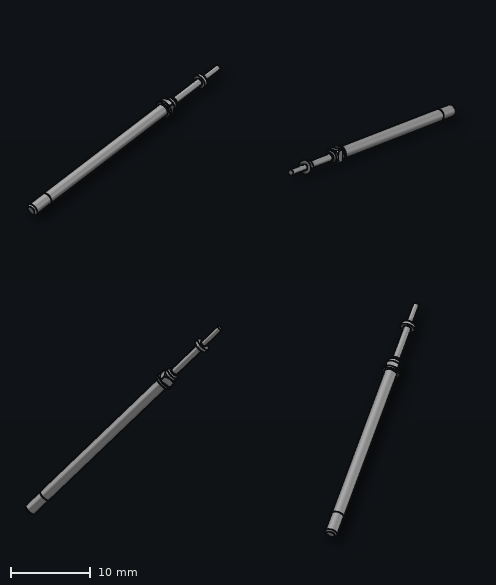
import cadquery as cq

LENGTH = 36.2
TIP_Y = LENGTH / 2

TIP_DIAMETER = 0.8
STOP_DIAMETER = 1.9
NECK_DIAMETER = 1.0
COLLAR_NOSE_DIAMETER = 1.23
BODY_DIAMETER = 1.65
FLANGE_DIAMETER = 2.3
SLEEVE_DIAMETER = 1.63

STOP_START = 3.2
STOP_END = 3.7
COLLAR_START = 8.65
COLLAR_NOSE_END = 8.75
COLLAR_BEVEL_END = 9.0
SQUARE_START = 9.45
FLANGE_START = 10.43
FLANGE_END = 10.75
SLEEVE_LENGTH = 3.0
SLEEVE_START = LENGTH - SLEEVE_LENGTH

SQUARE_SIDE = BODY_DIAMETER
SQUARE_CORNER_DIAMETER = FLANGE_DIAMETER
SQUARE_BEVEL_LENGTH = 0.2
REAR_CHAMFER = 0.25


def cylinder(diameter, start, end):
    """Round section between two distances back from the tip."""
    plane = cq.Workplane("XZ", origin=(0, TIP_Y - start, 0))
    return plane.circle(diameter / 2).extrude(end - start)


def cone(start_diameter, end_diameter, start, end):
    """Tapered section that changes diameter between two distances back from the tip."""
    outline = [
        (0, TIP_Y - start),
        (start_diameter / 2, TIP_Y - start),
        (end_diameter / 2, TIP_Y - end),
        (0, TIP_Y - end),
    ]
    return cq.Workplane("XY").polyline(outline).close().revolve(360, (0, 0), (0, 1))


def square_section():
    """Square section with rounded corners, with corners bevelled toward the tip."""
    length = FLANGE_START - SQUARE_START
    bevel_end = SQUARE_START + SQUARE_BEVEL_LENGTH
    square = (
        cq.Workplane("XZ", origin=(0, TIP_Y - SQUARE_START, 0))
        .rect(SQUARE_SIDE, SQUARE_SIDE)
        .extrude(length)
    )
    blank = cone(BODY_DIAMETER, SQUARE_CORNER_DIAMETER, SQUARE_START, bevel_end)
    blank = blank.union(cylinder(SQUARE_CORNER_DIAMETER, bevel_end, FLANGE_START))
    return square.intersect(blank)


def rear_sleeve():
    """Slightly narrower sleeve at the rear end, chamfered at its free edge."""
    sleeve = cylinder(SLEEVE_DIAMETER, SLEEVE_START, LENGTH)
    return sleeve.faces("<Y").chamfer(REAR_CHAMFER)


sections = [
    cylinder(STOP_DIAMETER, STOP_START, STOP_END),
    cylinder(NECK_DIAMETER, STOP_END, COLLAR_START),
    cylinder(COLLAR_NOSE_DIAMETER, COLLAR_START, COLLAR_NOSE_END),
    cone(COLLAR_NOSE_DIAMETER, BODY_DIAMETER, COLLAR_NOSE_END, COLLAR_BEVEL_END),
    cylinder(BODY_DIAMETER, COLLAR_BEVEL_END, SQUARE_START),
    square_section(),
    cylinder(FLANGE_DIAMETER, FLANGE_START, FLANGE_END),
    cylinder(BODY_DIAMETER, FLANGE_END, SLEEVE_START),
    rear_sleeve(),
]

result = cylinder(TIP_DIAMETER, 0, STOP_START)
for section in sections:
    result = result.union(section)